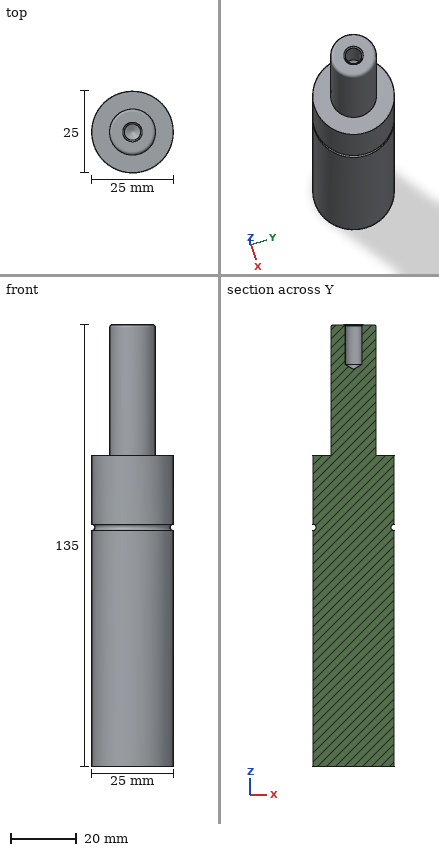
import cadquery as cq
import math

total_height = 135.0
body_diameter = 25.0
rod_diameter = 14.0
rod_length = 40.0
rod_tip_fillet = 1.0

groove_height = 73.0
groove_radius = 1.0

hole_diameter = 5.0
hole_depth = 12.2
hole_mouth_diameter = 6.0
drill_point_angle = 118

body_height = total_height - rod_length


def make_body():
    """Cylindrical housing."""
    return cq.Workplane("XY").circle(body_diameter / 2).extrude(body_height)


def make_rod():
    """Rod standing on the housing, with a rounded tip edge."""
    rod = cq.Workplane("XY").workplane(offset=body_height).circle(rod_diameter / 2).extrude(rod_length)
    return rod.faces(">Z").edges().fillet(rod_tip_fillet)


def make_groove():
    """Torus that cuts the round-bottomed groove around the housing."""
    return (
        cq.Workplane("XZ")
        .moveTo(body_diameter / 2, groove_height)
        .circle(groove_radius)
        .revolve(360, (0, 0), (0, 1))
    )


def make_hole():
    """Drilled hole with a 45 degree mouth chamfer and a conical bottom."""
    hole_radius = hole_diameter / 2
    mouth_radius = hole_mouth_diameter / 2
    mouth_depth = mouth_radius - hole_radius
    point_depth = hole_radius / math.tan(math.radians(drill_point_angle / 2))
    floor = total_height - hole_depth
    return (
        cq.Workplane("XZ")
        .moveTo(0, total_height)
        .lineTo(mouth_radius, total_height)
        .lineTo(hole_radius, total_height - mouth_depth)
        .lineTo(hole_radius, floor)
        .lineTo(0, floor - point_depth)
        .close()
        .revolve(360, (0, 0), (0, 1))
    )


result = make_body().union(make_rod()).cut(make_groove()).cut(make_hole())